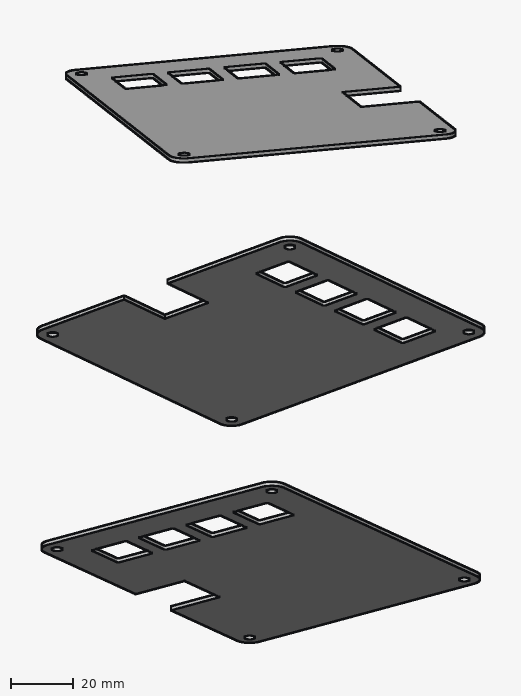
import cadquery as cq

length = 111.2
width = 96.7
thickness = 1.5
corner_radius = 5.0

hole_diameter = 3.5
hole_inset = 5.0

window_count = 4
window_size = 14.0
window_pitch = 19.0
window_corner_radius = 0.5
window_column_x = -36.0
window_column_y = -0.2

notch_width = 18.5
notch_depth = 19.7
notch_center_x = 6.5


def make_plate():
    plate = cq.Workplane("XY").box(length, width, thickness)
    return plate.edges("|Z").fillet(corner_radius)


def mounting_holes():
    return (
        cq.Workplane("XY")
        .rect(length - 2 * hole_inset, width - 2 * hole_inset, forConstruction=True)
        .vertices()
        .circle(hole_diameter / 2)
        .extrude(thickness, both=True)
    )


def key_windows():
    return (
        cq.Workplane("XY")
        .center(window_column_x, window_column_y)
        .rarray(window_pitch, window_pitch, 1, window_count)
        .rect(window_size, window_size)
        .extrude(thickness, both=True)
        .edges("|Z")
        .fillet(window_corner_radius)
    )


def edge_notch():
    notch_center_y = (width - notch_depth) / 2
    return (
        cq.Workplane("XY")
        .center(notch_center_x, notch_center_y)
        .rect(notch_width, notch_depth)
        .extrude(thickness, both=True)
    )


result = make_plate().cut(mounting_holes()).cut(key_windows()).cut(edge_notch())